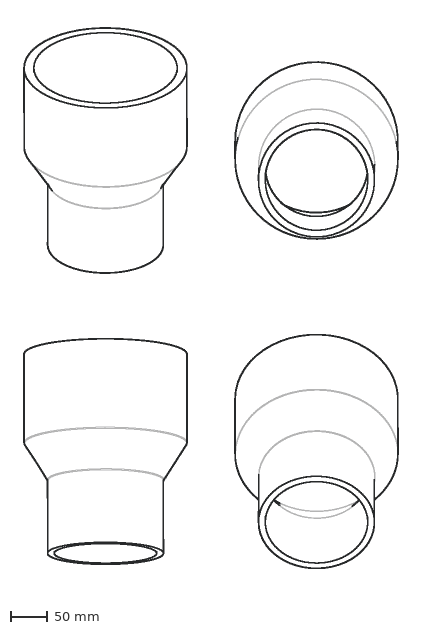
import cadquery as cq

total_height = 280.0
wide_diameter = 225.0
narrow_diameter = 160.2
wide_bore = 198.0
narrow_bore = 141.5
narrow_length = 103.0
cone_height = 52.0
blend_radius = 2.8
cone_top = narrow_length + cone_height


def revolved_solid(lower_diameter, upper_diameter):
    """Solid of two coaxial cylinders joined by a cone, with the cone ends blended."""
    lower_radius = lower_diameter / 2
    upper_radius = upper_diameter / 2
    profile = [
        (0, 0),
        (lower_radius, 0),
        (lower_radius, narrow_length),
        (upper_radius, cone_top),
        (upper_radius, total_height),
        (0, total_height),
    ]
    body = cq.Workplane("XZ").polyline(profile).close().revolve(360, (0, 0), (0, 1))
    cone_ends = body.faces("%CONE").edges("%CIRCLE")
    return cone_ends.fillet(blend_radius)


outer_body = revolved_solid(narrow_diameter, wide_diameter)
stepped_bore = revolved_solid(narrow_bore, wide_bore)

result = outer_body.cut(stepped_bore)